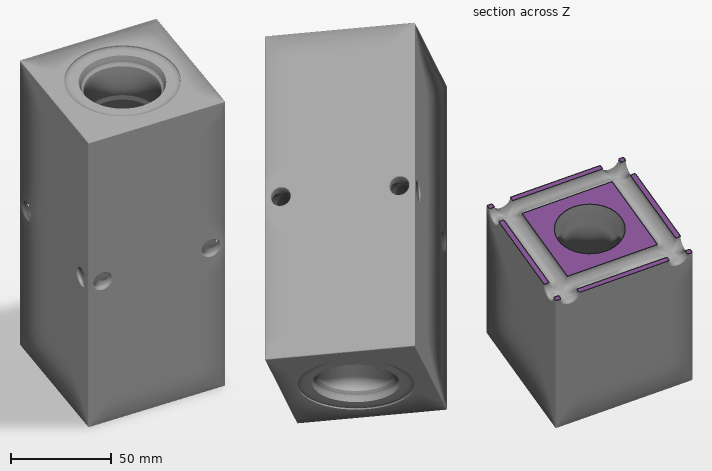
import cadquery as cq
import math

width = 76.2
height = 177.8
edge_chamfer = 0.25

bore_diameter = 34.925
spotface_diameter = 58.0
spotface_depth = 0.76
seal_mouth_diameter = 43.6
seal_base_diameter = 41.7
seal_depth = 4.2
thread_diameter = 38.9
thread_chamfer_end = 5.75
thread_depth = 23.8
drill_point_angle = 118.0

hole_diameter = 9.9
hole_offset = 30.16
hole_mouth_diameter = 10.7
hole_mouth_depth = 0.4


def make_block():
    """Square block with a small bevel on every outer edge."""
    block = cq.Workplane("XY").box(width, width, height)
    return block.edges().chamfer(edge_chamfer)


def make_bore():
    """Vertical bore running the full height of the block."""
    return cq.Workplane("XY").circle(bore_diameter / 2).extrude(height / 2, both=True)


def make_port():
    """Revolved cavity of the upper port, spotface down to the through bore."""
    top = height / 2
    bore_radius = bore_diameter / 2
    thread_radius = thread_diameter / 2
    point_depth = (thread_radius - bore_radius) / math.tan(math.radians(drill_point_angle / 2))
    profile = [
        (0, top),
        (spotface_diameter / 2, top),
        (spotface_diameter / 2, top - spotface_depth),
        (seal_mouth_diameter / 2, top - spotface_depth),
        (seal_base_diameter / 2, top - seal_depth),
        (thread_radius, top - thread_chamfer_end),
        (thread_radius, top - thread_depth),
        (bore_radius, top - thread_depth - point_depth),
        (0, top - thread_depth - point_depth),
    ]
    return cq.Workplane("XZ").polyline(profile).close().revolve(360, (0, 0, 0), (0, 1, 0))


def make_cross_hole(offset):
    """Through hole along Y with a countersunk mouth on both faces."""
    face = width / 2
    hole_radius = hole_diameter / 2
    mouth_radius = hole_mouth_diameter / 2
    shoulder = face - hole_mouth_depth
    profile = [
        (0, -face),
        (mouth_radius, -face),
        (hole_radius, -shoulder),
        (hole_radius, shoulder),
        (mouth_radius, face),
        (0, face),
    ]
    hole = cq.Workplane("XY").polyline(profile).close().revolve(360, (0, 0, 0), (0, 1, 0))
    return hole.translate((offset, 0, 0))


result = make_block().cut(make_bore())

upper_port = make_port()
result = result.cut(upper_port).cut(upper_port.mirror("XY"))

for offset in (-hole_offset, hole_offset):
    hole_along_y = make_cross_hole(offset)
    hole_along_x = hole_along_y.rotate((0, 0, 0), (0, 0, 1), 90)
    result = result.cut(hole_along_y).cut(hole_along_x)